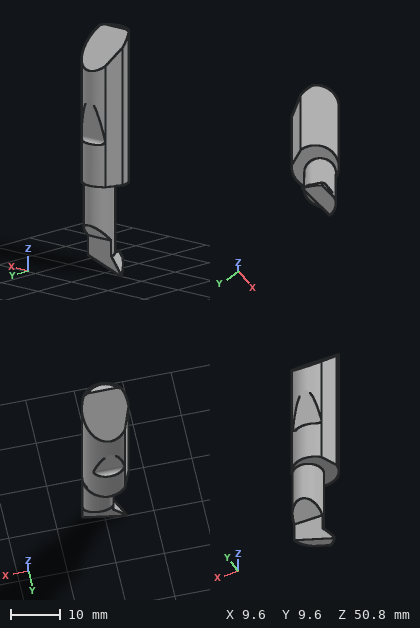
import cadquery as cq
import math

total_height = 50.8
shank_radius = 4.8
shank_bottom = 19.1

bevel_low_z = 43.1
rim_chamfer_height = 0.3
rim_chamfer_width = 0.45

flat_end_y = 3.5

notch_top = 36.9
notch_bottom = 27.85
notch_depth = 1.25
notch_corner_radius = 0.9

neck_radius = 3.2
neck_x = shank_radius - neck_radius
neck_face_z = 7.0

tip_top = 4.1
nose_x = -4.35
nose_z = 0.3
cutting_corner_x = -4.2
lead_slope = math.tan(math.radians(52))
end_slope = math.tan(math.radians(17.7))
lead_relief = 0.6
end_relief = 0.65
nose_back_x = -1.9
nose_clearance_radius = 12.7


def extrude_along_x(sketch):
    """Extrude a YZ outline through the full shank width."""
    return sketch.extrude(shank_radius, both=True)


def relieved_prism(rake_points, back_points):
    """Join an outline at Y = 0 to its relieved copy at the tip's -Y side."""
    return (
        cq.Workplane("XZ").polyline(rake_points).close()
        .workplane(offset=neck_radius).polyline(back_points).close()
        .loft(ruled=True)
    )


def end_z(x, relief):
    return end_slope * (x - cutting_corner_x) + relief


def make_shank():
    rim_radius = shank_radius - rim_chamfer_width
    shank = (
        cq.Workplane("XZ")
        .moveTo(0, shank_bottom)
        .lineTo(shank_radius, shank_bottom)
        .lineTo(shank_radius, total_height - rim_chamfer_height)
        .lineTo(rim_radius, total_height)
        .lineTo(0, total_height)
        .close()
        .revolve(360, (0, 0, 0), (0, 1, 0))
    )
    bevel_run = total_height - bevel_low_z
    bevel = extrude_along_x(
        cq.Workplane("YZ")
        .moveTo(shank_radius, bevel_low_z)
        .lineTo(shank_radius, total_height)
        .lineTo(shank_radius - bevel_run, total_height)
        .close()
    )
    return shank.cut(bevel).cut(make_flat()).cut(make_notch())


def make_flat():
    flat_end_x = -math.sqrt(shank_radius**2 - flat_end_y**2)
    return (
        cq.Workplane("XY", origin=(0, 0, shank_bottom))
        .moveTo(-shank_radius, 0)
        .lineTo(flat_end_x, flat_end_y)
        .lineTo(-shank_radius, flat_end_y)
        .close()
        .extrude(total_height - shank_bottom)
    )


def make_notch():
    floor_y = shank_radius - notch_depth
    return extrude_along_x(
        cq.Workplane("YZ")
        .moveTo(shank_radius, notch_top)
        .lineTo(floor_y, notch_bottom + notch_corner_radius)
        .radiusArc((floor_y + notch_corner_radius, notch_bottom), -notch_corner_radius)
        .lineTo(shank_radius, notch_bottom)
        .close()
    )


def make_neck():
    neck = cq.Workplane("XY").center(neck_x, 0).circle(neck_radius).extrude(shank_bottom)
    half_round_cut = extrude_along_x(
        cq.Workplane("YZ")
        .lineTo(0, neck_face_z)
        .lineTo(neck_radius, neck_face_z + neck_radius)
        .lineTo(neck_radius, 0)
        .close()
    )
    return neck.cut(half_round_cut)


def make_tip():
    def outline(lead_drop):
        lead_top_x = nose_x + (tip_top + lead_drop - nose_z) / lead_slope
        lead_foot_x = nose_x + (lead_drop - nose_z) / lead_slope
        return [(lead_foot_x, 0), (lead_top_x, tip_top), (neck_x, tip_top), (neck_x, 0)]

    clearance = (
        cq.Workplane("XY")
        .moveTo(nose_x, 0)
        .radiusArc((nose_back_x, -neck_radius), -nose_clearance_radius)
        .lineTo(neck_x, -neck_radius)
        .lineTo(neck_x, 0)
        .close()
        .extrude(tip_top)
    )
    return relieved_prism(outline(0), outline(lead_relief)).intersect(clearance)


def make_end_cut():
    def outline(relief):
        left = -2 * shank_radius
        right = 2 * shank_radius
        return [
            (left, end_z(left, relief)),
            (right, end_z(right, relief)),
            (right, -shank_radius),
            (left, -shank_radius),
        ]

    return relieved_prism(outline(0), outline(end_relief))


result = make_shank().union(make_neck().union(make_tip()).cut(make_end_cut()))